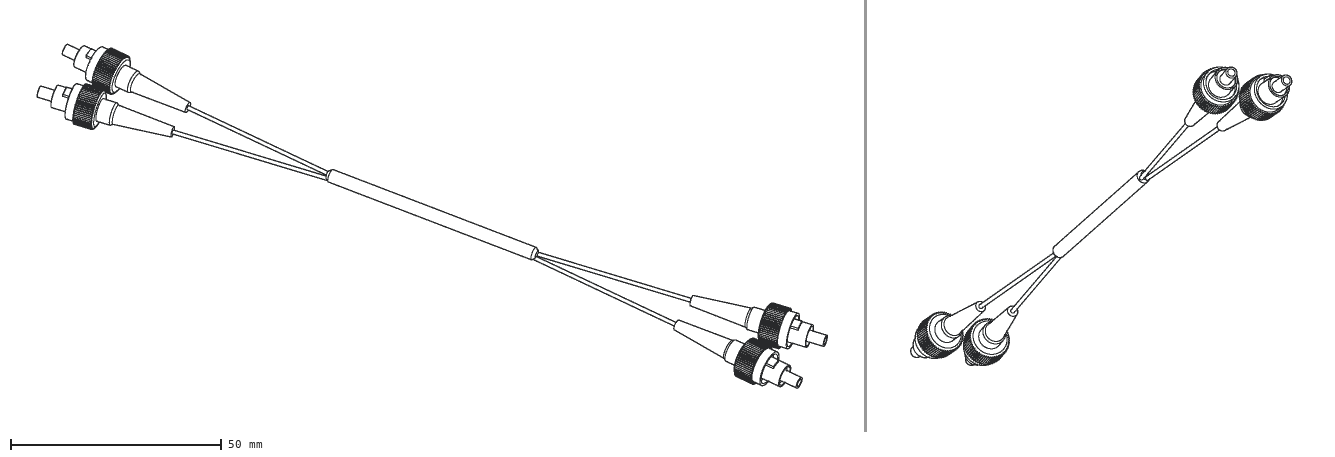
import cadquery as cq
import math

overall_length = 201.5
spread_angle = 5.0
overall_width = 22.4

ferrule_radius = 1.5
bore_radius = 0.9
barrel_start = 4.0
barrel_radius = 2.8
barrel_recess_radius = 2.5
barrel_recess_depth = 0.8
collar_start = 8.3
collar_radius = 4.5
collar_recess_radius = 3.8
collar_recess_depth = 1.2
nut_start = 10.5
nut_end = 15.5
nut_radius = 5.0
nut_chamfer_length = 0.5
nut_chamfer_depth = 0.8
knurl_count = 60
knurl_depth = 0.3
neck_end = 19.0
neck_radius = 2.8
groove_end = 19.5
boot_start_radius = 2.5
boot_end = 34.0
boot_end_radius = 1.3

key_start = 6.5
key_width = 2.5
key_height = 0.5

sheath_length = 55.5
sheath_radius = 1.6
sheath_raise = 0.6
sheath_end_length = 0.8
sheath_end_radius = 1.0
cord_radius = 0.5

tilt = math.radians(spread_angle)
tip_x = -overall_length / 2 + ferrule_radius * math.sin(tilt)
tip_y = overall_width / 2 - nut_radius * math.cos(tilt) + nut_start * math.sin(tilt)

cord_end = (-sheath_length / 2 + sheath_end_length - tip_x) / math.cos(tilt)


def rod(start, end, radius):
    """Cylinder along +X between two stations."""
    return cq.Workplane("YZ").workplane(offset=start).circle(radius).extrude(end - start)


def knurled_nut():
    """Nut with V-shaped straight knurling and a chamfered rear end."""
    points = []
    for i in range(2 * knurl_count):
        radius = nut_radius - knurl_depth * (i % 2)
        angle = math.pi * i / knurl_count
        points.append((radius * math.cos(angle), radius * math.sin(angle)))
    front = cq.Workplane("YZ").workplane(offset=nut_start)
    knurl = front.polyline(points).close().extrude(nut_end - nut_start)
    envelope = rod(nut_start, nut_end, nut_radius).faces(">X").chamfer(nut_chamfer_length, nut_chamfer_depth)
    return knurl.intersect(envelope)


def turned_body():
    """Ferrule, barrel, collar, neck and tapered boot, revolved about the X axis."""
    barrel_floor = barrel_start + barrel_recess_depth
    collar_floor = collar_start + collar_recess_depth
    profile = [
        (barrel_start, 0),
        (barrel_start, bore_radius),
        (0, bore_radius),
        (0, ferrule_radius),
        (barrel_floor, ferrule_radius),
        (barrel_floor, barrel_recess_radius),
        (barrel_start, barrel_recess_radius),
        (barrel_start, barrel_radius),
        (collar_floor, barrel_radius),
        (collar_floor, collar_recess_radius),
        (collar_start, collar_recess_radius),
        (collar_start, collar_radius),
        (nut_start, collar_radius),
        (nut_start, neck_radius),
        (neck_end, neck_radius),
        (groove_end, boot_start_radius),
        (boot_end, boot_end_radius),
        (boot_end, 0),
    ]
    return cq.Workplane("XY").polyline(profile).close().revolve(360, (0, 0, 0), (1, 0, 0))


def key():
    """Square key that stands on the barrel and reaches the back of the collar."""
    length = nut_start - key_start
    block = cq.Workplane("XY").box(length, key_width, barrel_radius + key_height, centered=(False, True, False))
    return block.translate((key_start, 0, 0))


def place(shape, end, side):
    """Tilt a shape laid along +X from the origin and move it to one of the four branches."""
    placed = shape.rotate((0, 0, 0), (0, 0, 1), -spread_angle).translate((tip_x, tip_y, 0))
    if side < 0:
        placed = placed.mirror("XZ")
    if end > 0:
        placed = placed.mirror("YZ")
    return placed


def cable():
    """Sheath with conical ends and the four cords that leave it."""
    body = rod(-sheath_length / 2, sheath_length / 2, sheath_radius)
    cone_depth = sheath_radius - sheath_end_radius
    body = body.faces("<X or >X").chamfer(sheath_end_length, cone_depth)
    body = body.translate((0, 0, sheath_raise))
    cord = rod(boot_end, cord_end, cord_radius)
    for end, side in branches:
        body = body.union(place(cord, end, side))
    return body


branches = [(end, side) for end in (-1, 1) for side in (-1, 1)]
connector = turned_body().union(knurled_nut()).union(key())
connectors = [place(connector, end, side) for end, side in branches]
result = cq.Compound.makeCompound([cable().val(), *[c.val() for c in connectors]])